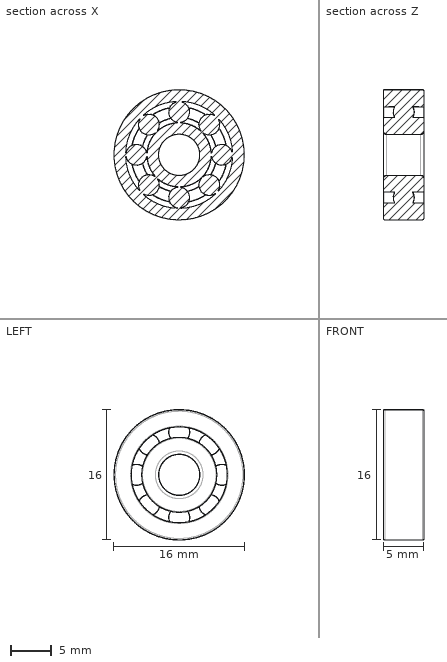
import cadquery as cq

WIDTH = 5.0
OUTER_DIAMETER = 16.0
BORE_DIAMETER = 5.0

INNER_RING_OUTER_DIAMETER = 9.2
OUTER_RING_INNER_DIAMETER = 11.74

OUTER_FILLET = 0.2
BORE_FILLET = 0.42
GAP_FILLET = 0.1

BALL_COUNT = 8
BALL_DIAMETER = 2.6
PITCH_RADIUS = (INNER_RING_OUTER_DIAMETER + OUTER_RING_INNER_DIAMETER) / 4

SEAT_OVERLAP = 0.01
GROOVE_RADIUS = BALL_DIAMETER / 2 - SEAT_OVERLAP


def plain_ring(outer_diameter, inner_diameter, outer_fillet, inner_fillet):
    """Tube along X with both rims rounded, outside and inside."""
    outside = (
        cq.Workplane("YZ", origin=(-WIDTH / 2, 0, 0))
        .circle(outer_diameter / 2)
        .extrude(WIDTH)
        .faces("<X or >X")
        .edges()
        .fillet(outer_fillet)
    )
    return (
        outside.faces(">X")
        .workplane(centerOption="CenterOfBoundBox")
        .hole(inner_diameter)
        .faces("<X or >X")
        .edges(cq.selectors.RadiusNthSelector(0))
        .fillet(inner_fillet)
    )


def raceway():
    """Torus that cuts the ball groove into both rings."""
    centre = cq.Vector(0, 0, 0)
    axis = cq.Vector(1, 0, 0)
    return cq.Workplane(obj=cq.Solid.makeTorus(PITCH_RADIUS, GROOVE_RADIUS, centre, axis))


def ball(index):
    """One ball on the pitch circle, the first one on +Z."""
    angle = index * 360 / BALL_COUNT
    sphere = cq.Workplane("XY").sphere(BALL_DIAMETER / 2).translate((0, 0, PITCH_RADIUS))
    return sphere.rotate((0, 0, 0), (1, 0, 0), angle)


outer_ring = plain_ring(OUTER_DIAMETER, OUTER_RING_INNER_DIAMETER, OUTER_FILLET, GAP_FILLET)
inner_ring = plain_ring(INNER_RING_OUTER_DIAMETER, BORE_DIAMETER, GAP_FILLET, BORE_FILLET)

bearing = outer_ring.cut(raceway()).union(inner_ring.cut(raceway()))
for ball_index in range(BALL_COUNT):
    bearing = bearing.union(ball(ball_index))

result = bearing.solids()